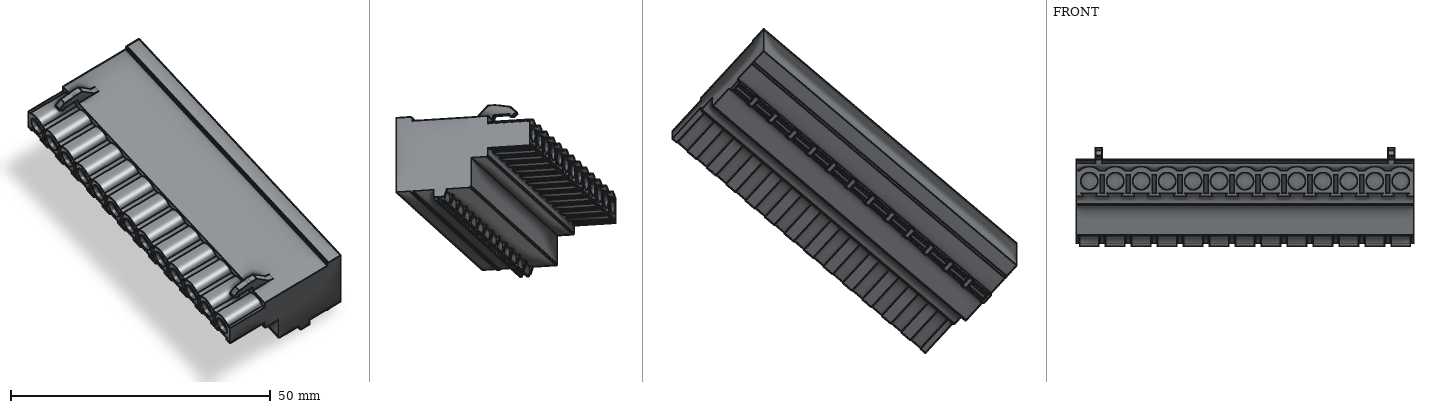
import cadquery as cq
import math


POLES = 13
PITCH = 5.0
END_WALL = 0.05
WIDTH = POLES * PITCH + 2 * END_WALL
POLE_XS = [(i - (POLES - 1) / 2) * PITCH for i in range(POLES)]
BOUNDARY_XS = [(i - POLES / 2) * PITCH for i in range(POLES + 1)]

DEPTH = 26.6
DECK_Z = 13.95
LIP_HEIGHT = 0.8
LIP_DEPTH = 3.2
BLOCK_FRONT_Y = 8.3
SHELF_Z = 5.9
LOWER_FRONT_Y = 11.65
EDGE_CHAMFER = 0.25

BARREL_CENTRE_Z = 10.55
BARREL_RADIUS = 2.8
BARREL_BOTTOM_Z = 7.65
VALLEY_Z = 12.5
HOLE_DIAMETER = 3.3
HOLE_DEPTH = 1.0

SLOT_WIDTH = 0.82
SLOT_TOP_Z = 11.8
SLOT_BOTTOM_Z = 8.25

GROOVE_HEIGHT = 0.6
GROOVE_MOUTH_WIDTH = 2.6
GROOVE_TOP_WIDTH = 3.2
GROOVE_MOUTH_HEIGHT = 0.3

LATCH_WIDTH = 1.3
LATCH_X = 28.15
LATCH_TOP_Z = 17.0
LATCH_CREST_BACK_Y = 9.25
LATCH_RAMP_ANGLE = 45
LATCH_ROOT_RADIUS = 2.1
LATCH_CREST_FRONT_Y = 7.9
LATCH_SLOPE_TOP_Y = 7.3
LATCH_SLOPE_TOP_Z = 16.93
LATCH_SLOPE_END_Y = 5.0
LATCH_SLOPE_END_Z = 16.5
LATCH_BROW_Y = 4.65
LATCH_BROW_Z = 16.3
LATCH_NOSE_Y = 3.8
LATCH_NOSE_Z = 15.5
LATCH_TIP_Y = 3.7
LATCH_TIP_Z = 15.25
LATCH_BARB_FRONT_Y = 4.4
LATCH_BARB_BACK_Y = 5.0
LATCH_BARB_Z = 14.7
LATCH_UNDERSIDE_Z = 15.05
LATCH_HEEL_RADIUS = 0.25

FOOT_BACK_Y = 19.1
RIB_WIDTH = 0.9
RIB_HEIGHT = 1.45
RIB_TOP_FRONT_Y = 16.5
RIB_BOTTOM_FRONT_Y = 17.0
KEY_WIDTH = 3.75
KEY_HEIGHT = 2.0
KEY_FRONT_Y = 17.05
KEY_FRONT_DRAFT = 0.1
KEY_LEG_THICKNESS = 0.65
KEY_HEEL_CHAMFER = 0.2

RIDGE_Y = 23.45
RIDGE_WIDTH = 0.5
RIDGE_HEIGHT = 0.2

OVERLAP = 0.5


def extrude_along_x(sketch_yz, x_centre, width):
    """Extrude a YZ outline symmetrically about x_centre."""
    return sketch_yz.extrude(width / 2, both=True).translate((x_centre, 0, 0))


def front_sketch():
    """XZ plane at the entry face, with extrusion running rearwards (+Y)."""
    return cq.Workplane(cq.Plane(origin=(0, 0, 0), xDir=(1, 0, 0), normal=(0, -1, 0)))


def make_housing():
    """Stepped housing body with a raised lip along the rear of the deck."""
    lip_top_z = DECK_Z + LIP_HEIGHT
    lip_front_y = DEPTH - LIP_DEPTH
    outline = cq.Workplane("YZ").polyline([
        (DEPTH, 0),
        (DEPTH, lip_top_z),
        (lip_front_y + EDGE_CHAMFER, lip_top_z),
        (lip_front_y, lip_top_z - EDGE_CHAMFER),
        (lip_front_y, DECK_Z),
        (BLOCK_FRONT_Y, DECK_Z),
        (BLOCK_FRONT_Y, SHELF_Z + EDGE_CHAMFER),
        (BLOCK_FRONT_Y + EDGE_CHAMFER, SHELF_Z),
        (LOWER_FRONT_Y, SHELF_Z),
        (LOWER_FRONT_Y, EDGE_CHAMFER),
        (LOWER_FRONT_Y + EDGE_CHAMFER, 0),
    ]).close()
    return extrude_along_x(outline, 0, WIDTH)


def make_barrels():
    """Row of round-topped barrels standing out from the block front."""
    half_chord = math.sqrt(BARREL_RADIUS**2 - (VALLEY_Z - BARREL_CENTRE_Z)**2)
    outline = front_sketch().moveTo(-WIDTH / 2, BARREL_BOTTOM_Z).lineTo(-WIDTH / 2, VALLEY_Z)
    for x in POLE_XS:
        outline = outline.lineTo(x - half_chord, VALLEY_Z)
        outline = outline.threePointArc(
            (x, BARREL_CENTRE_Z + BARREL_RADIUS), (x + half_chord, VALLEY_Z)
        )
    outline = outline.lineTo(WIDTH / 2, VALLEY_Z).lineTo(WIDTH / 2, BARREL_BOTTOM_Z).close()
    return outline.extrude(-(BLOCK_FRONT_Y + OVERLAP))


def make_wire_holes():
    """Blind round wire entries, one per barrel."""
    centres = [(x, BARREL_CENTRE_Z) for x in POLE_XS]
    return front_sketch().pushPoints(centres).circle(HOLE_DIAMETER / 2).extrude(-HOLE_DEPTH)


def make_slots():
    """Upright blind slots between neighbouring barrels."""
    centres = [(x, (SLOT_TOP_Z + SLOT_BOTTOM_Z) / 2) for x in BOUNDARY_XS[1:-1]]
    profile = front_sketch().pushPoints(centres).rect(SLOT_WIDTH, SLOT_TOP_Z - SLOT_BOTTOM_Z)
    return profile.extrude(-BLOCK_FRONT_Y)


def make_groove(x):
    """Dovetail groove along the underside of one barrel."""
    mouth = GROOVE_MOUTH_WIDTH / 2
    top = GROOVE_TOP_WIDTH / 2
    flare_z = BARREL_BOTTOM_Z + GROOVE_MOUTH_HEIGHT
    top_z = BARREL_BOTTOM_Z + GROOVE_HEIGHT
    outline = front_sketch().polyline([
        (x - mouth, BARREL_BOTTOM_Z),
        (x - mouth, flare_z),
        (x - top, top_z),
        (x + top, top_z),
        (x + mouth, flare_z),
        (x + mouth, BARREL_BOTTOM_Z),
    ]).close()
    return outline.extrude(-BLOCK_FRONT_Y)


def make_latch(x):
    """Hook ramping up from a filleted root on the deck and reaching forward over the barrels."""
    ramp_foot_y = LATCH_CREST_BACK_Y + (LATCH_TOP_Z - DECK_Z) / math.tan(math.radians(LATCH_RAMP_ANGLE))
    half_angle = math.radians(LATCH_RAMP_ANGLE / 2)
    tangent = LATCH_ROOT_RADIUS * math.tan(half_angle)
    ramp_run = tangent * math.cos(2 * half_angle)
    ramp_rise = tangent * math.sin(2 * half_angle)
    root_y = ramp_foot_y + tangent
    root_mid = (
        root_y - LATCH_ROOT_RADIUS * math.sin(half_angle),
        DECK_Z + LATCH_ROOT_RADIUS * (1 - math.cos(half_angle)),
    )
    outline = (
        cq.Workplane("YZ")
        .moveTo(BLOCK_FRONT_Y, DECK_Z - OVERLAP)
        .lineTo(root_y, DECK_Z - OVERLAP)
        .lineTo(root_y, DECK_Z)
        .threePointArc(root_mid, (ramp_foot_y - ramp_run, DECK_Z + ramp_rise))
        .lineTo(LATCH_CREST_BACK_Y, LATCH_TOP_Z)
        .lineTo(LATCH_CREST_FRONT_Y, LATCH_TOP_Z)
        .lineTo(LATCH_SLOPE_TOP_Y, LATCH_SLOPE_TOP_Z)
        .lineTo(LATCH_SLOPE_END_Y, LATCH_SLOPE_END_Z)
        .lineTo(LATCH_BROW_Y, LATCH_BROW_Z)
        .lineTo(LATCH_NOSE_Y, LATCH_NOSE_Z)
        .lineTo(LATCH_TIP_Y, LATCH_TIP_Z)
        .lineTo(LATCH_BARB_FRONT_Y, LATCH_BARB_Z)
        .lineTo(LATCH_BARB_BACK_Y, LATCH_BARB_Z)
        .lineTo(LATCH_BARB_BACK_Y, LATCH_UNDERSIDE_Z)
        .lineTo(BLOCK_FRONT_Y - LATCH_HEEL_RADIUS, LATCH_UNDERSIDE_Z)
        .radiusArc((BLOCK_FRONT_Y, LATCH_UNDERSIDE_Z - LATCH_HEEL_RADIUS), -LATCH_HEEL_RADIUS)
        .close()
    )
    return extrude_along_x(outline, x, LATCH_WIDTH)


def make_rib(x):
    """Sloped-front rib on a pole boundary; the end ribs are cut off flush with the housing."""
    outline = cq.Workplane("YZ").polyline([
        (FOOT_BACK_Y, OVERLAP),
        (FOOT_BACK_Y, -RIB_HEIGHT),
        (RIB_BOTTOM_FRONT_Y, -RIB_HEIGHT),
        (RIB_TOP_FRONT_Y, 0),
        (RIB_TOP_FRONT_Y, OVERLAP),
    ]).close()
    x_min = max(x - RIB_WIDTH / 2, -WIDTH / 2)
    x_max = min(x + RIB_WIDTH / 2, WIDTH / 2)
    return extrude_along_x(outline, (x_min + x_max) / 2, x_max - x_min)


def make_key(x):
    """Key below one pole, ending in two short legs with a channel between them."""
    front_leg_back_y = KEY_FRONT_Y + KEY_LEG_THICKNESS
    back_leg_front_y = FOOT_BACK_Y - KEY_LEG_THICKNESS
    heel_z = -KEY_HEIGHT + KEY_HEEL_CHAMFER
    outline = cq.Workplane("YZ").polyline([
        (KEY_FRONT_Y, OVERLAP),
        (KEY_FRONT_Y, -RIB_HEIGHT),
        (KEY_FRONT_Y + KEY_FRONT_DRAFT, -KEY_HEIGHT),
        (front_leg_back_y - KEY_HEEL_CHAMFER, -KEY_HEIGHT),
        (front_leg_back_y, heel_z),
        (front_leg_back_y, -RIB_HEIGHT),
        (back_leg_front_y, -RIB_HEIGHT),
        (back_leg_front_y, -KEY_HEIGHT),
        (FOOT_BACK_Y - KEY_HEEL_CHAMFER, -KEY_HEIGHT),
        (FOOT_BACK_Y, heel_z),
        (FOOT_BACK_Y, OVERLAP),
    ]).close()
    return extrude_along_x(outline, x, KEY_WIDTH)


def make_ridge():
    """Low ridge running the full width of the housing underside."""
    centre_z = (OVERLAP - RIDGE_HEIGHT) / 2
    profile = cq.Workplane("YZ").center(RIDGE_Y, centre_z).rect(RIDGE_WIDTH, OVERLAP + RIDGE_HEIGHT)
    return extrude_along_x(profile, 0, WIDTH)


result = make_housing().union(make_barrels()).union(make_ridge())
result = result.cut(make_wire_holes()).cut(make_slots())
for pole_x in POLE_XS:
    result = result.cut(make_groove(pole_x)).union(make_key(pole_x))
for boundary_x in BOUNDARY_XS:
    result = result.union(make_rib(boundary_x))
for latch_x in (-LATCH_X, LATCH_X):
    result = result.union(make_latch(latch_x))